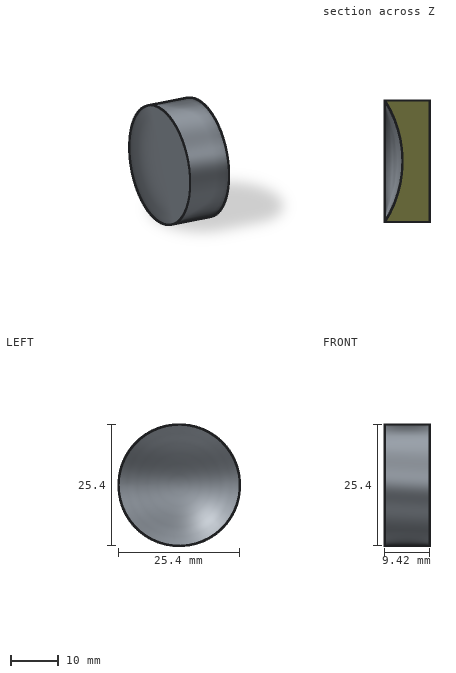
import cadquery as cq
import math

diameter = 25.4
edge_thickness = 9.42
dish_radius = 23.6

rim_radius = diameter / 2
concave_rim_x = -edge_thickness / 2
flat_x = edge_thickness / 2

dish_centre_x = concave_rim_x - math.sqrt(dish_radius**2 - rim_radius**2)
dish_apex_x = dish_centre_x + dish_radius
dish_half_angle = math.asin(rim_radius / dish_radius)


def dish_point(angle):
    """Point of the dish in the XY plane, at an angle from the optical axis about the dish centre."""
    x = dish_centre_x + dish_radius * math.cos(angle)
    y = dish_radius * math.sin(angle)
    return (x, y)


def lens():
    """Half section of the lens turned about the optical axis."""
    half_section = (
        cq.Workplane("XY")
        .moveTo(dish_apex_x, 0)
        .threePointArc(dish_point(dish_half_angle / 2), (concave_rim_x, rim_radius))
        .lineTo(flat_x, rim_radius)
        .lineTo(flat_x, 0)
        .close()
    )
    return half_section.revolve(360, (0, 0, 0), (1, 0, 0))


result = lens()